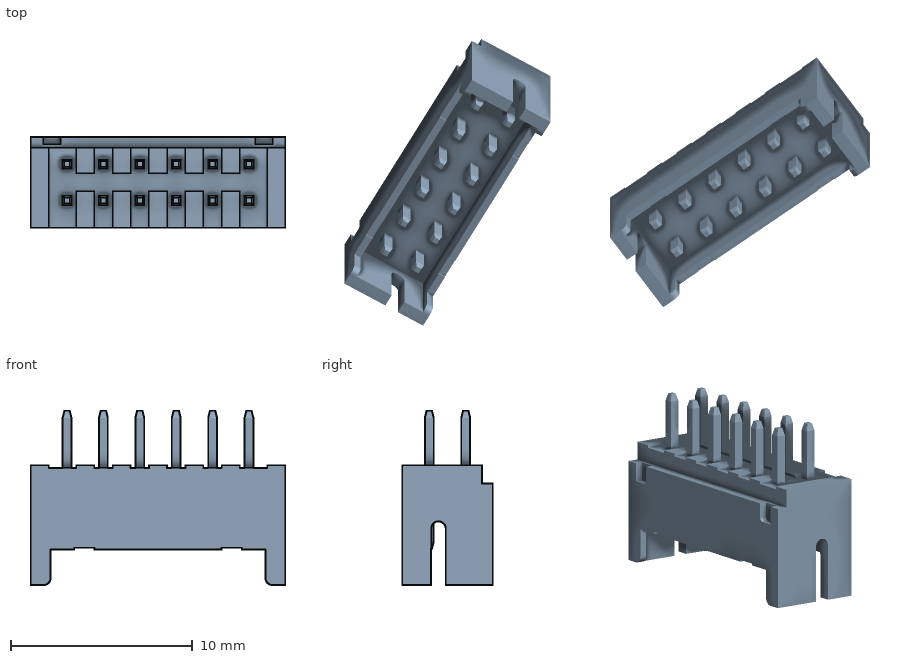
import cadquery as cq


length = 14.0
depth = 5.0
body_top = 6.6
end_wall = 0.7
long_wall = 0.4
cavity_top = 4.1

foot_length = 1.1
foot_radius = foot_length - end_wall
wall_bottom = 1.95
gap_height = 0.1
gap_length = 1.1
gap_center = 4.05

ledge_depth = 0.6
ledge_z = 5.6
pocket_length = 0.95
pocket_bottom = 4.6
pocket_radius = 0.2

slot_width = 0.8
slot_top = 3.5
slot_y = 2.0

pitch = 2.0
columns = 6
pin_rows = (1.5, 3.5)
pin_width = 0.5
pin_bottom = 2.0
pin_top = 9.6
tip_length = 0.4
tip_width = 0.3

relief_depth = 0.15
end_block = 1.0
pad_length = 1.0
front_pad_edge = 2.0
rear_pad_edge = 3.0


def block(x_range, y_range, z_range):
    """Axis-aligned box given by its limits along X, Y and Z."""
    sizes = [high - low for low, high in (x_range, y_range, z_range)]
    corner = (x_range[0], y_range[0], z_range[0])
    return cq.Workplane("XY").box(*sizes, centered=False).translate(corner)


def centered_range(center, size):
    """Limits of a span of the given size about a center."""
    return (center - size / 2, center + size / 2)


def make_shell():
    """Housing with feet, rear ledge and the mating cavity open at the bottom."""
    shell = block(centered_range(0, length), (0, depth), (0, body_top))

    opening = block(centered_range(0, length - 2 * foot_length), (0, depth), (0, wall_bottom))
    shell = shell.cut(opening)
    inner_foot_bottoms = cq.selectors.BoxSelector(
        (-length / 2 + foot_radius, -depth, -foot_radius),
        (length / 2 - foot_radius, 2 * depth, foot_radius),
    )
    shell = shell.edges("|Y").edges(inner_foot_bottoms).fillet(foot_radius)

    for x in (-gap_center, gap_center):
        gap = block(centered_range(x, gap_length), (0, depth), (0, wall_bottom + gap_height))
        shell = shell.cut(gap)

    ledge = block(centered_range(0, length), (depth - ledge_depth, depth), (ledge_z, body_top))
    cavity = block(
        centered_range(0, length - 2 * end_wall),
        (long_wall, depth - long_wall),
        (0, cavity_top),
    )
    return shell.cut(ledge).cut(cavity)


def make_end_slot():
    """Round-topped slot that runs through both end walls."""
    radius = slot_width / 2
    spring_z = slot_top - radius
    return (
        cq.Workplane("YZ", origin=(-length / 2, 0, 0))
        .moveTo(slot_y - radius, 0)
        .lineTo(slot_y - radius, spring_z)
        .threePointArc((slot_y, slot_top), (slot_y + radius, spring_z))
        .lineTo(slot_y + radius, 0)
        .close()
        .extrude(length)
    )


def make_ledge_pocket():
    """Pocket in the ledge at the -X end, open to the rear, with its inner floor corner rounded."""
    outer_x = -length / 2 + end_wall
    pocket = block(
        (outer_x, outer_x + pocket_length),
        (depth - long_wall, depth),
        (pocket_bottom, ledge_z),
    )
    return pocket.edges("|Y and >X and <Z").fillet(pocket_radius)


def make_top_relief():
    """Material removed around the pins in the top face."""
    rear_edge = depth - ledge_depth
    z_range = (body_top - relief_depth, body_top)
    relief = block(centered_range(0, length - 2 * end_block), (0, rear_edge), z_range)
    for index in range(columns - 1):
        pad_x = centered_range((index - (columns - 2) / 2) * pitch, pad_length)
        relief = relief.cut(block(pad_x, (0, front_pad_edge), z_range))
        relief = relief.cut(block(pad_x, (rear_pad_edge, rear_edge), z_range))
    return relief


def make_pin(x, y):
    """Square pin with a tapered tip at each end."""
    shank_bottom = pin_bottom + tip_length
    shank_top = pin_top - tip_length
    pin = block(centered_range(x, pin_width), centered_range(y, pin_width), (shank_bottom, shank_top))
    for base_z, tip_z in ((shank_top, pin_top), (shank_bottom, pin_bottom)):
        tip = (
            cq.Workplane("XY", origin=(x, y, base_z))
            .rect(pin_width, pin_width)
            .workplane(offset=tip_z - base_z)
            .rect(tip_width, tip_width)
            .loft()
        )
        pin = pin.union(tip)
    return pin


result = make_shell().cut(make_end_slot()).cut(make_top_relief())

left_pocket = make_ledge_pocket()
result = result.cut(left_pocket).cut(left_pocket.mirror("YZ"))

for column in range(columns):
    for row_y in pin_rows:
        result = result.union(make_pin((column - (columns - 1) / 2) * pitch, row_y))